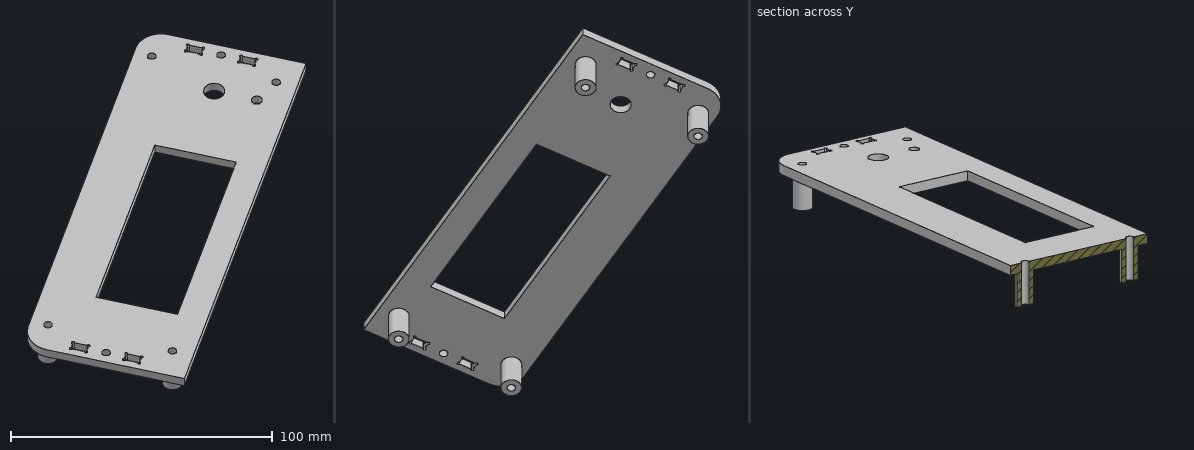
import cadquery as cq

plate_width = 65.0
plate_length = 170.0
plate_thickness = 4.0
corner_radius = 10.2

total_height = 17.7
standoff_height = total_height - plate_thickness
standoff_diameter = 8.0
standoff_bore = 3.2
standoff_left_inset = 7.1
standoff_right_inset = 8.3
standoff_end_inset = 12.5

window_width = 32.3
window_length = 82.0
window_x = 4.6
window_y = -12.5

control_hole_y = 61.5
large_hole_x = 2.5
large_hole_diameter = 8.0
small_hole_x = 19.5
small_hole_diameter = 4.0

row_end_inset = 4.8
row_hole_diameter = 3.2
slot_offset = 10.5
slot_width = 6.1
slot_height = 3.2
slot_relief_diameter = 1.0


def cutter(profile):
    """Extrude a closed profile through the full plate thickness."""
    return profile.extrude(plate_thickness)


def make_plate():
    plate = cq.Workplane("XY").box(
        plate_width, plate_length, plate_thickness, centered=(True, True, False)
    )
    return plate.edges("|Z and <X").fillet(corner_radius)


def standoff_points():
    left_x = -plate_width / 2 + standoff_left_inset
    right_x = plate_width / 2 - standoff_right_inset
    end_y = plate_length / 2 - standoff_end_inset
    return [(x, y) for x in (left_x, right_x) for y in (-end_y, end_y)]


def add_standoffs(body):
    posts = (
        cq.Workplane("XY")
        .pushPoints(standoff_points())
        .circle(standoff_diameter / 2)
        .extrude(-standoff_height)
    )
    bores = (
        cq.Workplane("XY", origin=(0, 0, -standoff_height))
        .pushPoints(standoff_points())
        .circle(standoff_bore / 2)
        .extrude(total_height)
    )
    return body.union(posts).cut(bores)


def cut_window(body):
    profile = cq.Workplane("XY").center(window_x, window_y).rect(window_width, window_length)
    return body.cut(cutter(profile))


def cut_round_hole(body, x, y, diameter):
    return body.cut(cutter(cq.Workplane("XY").center(x, y).circle(diameter / 2)))


def cut_relieved_slot(body, x, y):
    """Cut a rectangular slot with a round relief centred on each corner."""
    slot = cq.Workplane("XY").center(x, y).rect(slot_width, slot_height)
    reliefs = (
        cq.Workplane("XY")
        .center(x, y)
        .rect(slot_width, slot_height, forConstruction=True)
        .vertices()
        .circle(slot_relief_diameter / 2)
    )
    return body.cut(cutter(slot)).cut(cutter(reliefs))


result = add_standoffs(make_plate())
result = cut_window(result)
result = cut_round_hole(result, large_hole_x, control_hole_y, large_hole_diameter)
result = cut_round_hole(result, small_hole_x, control_hole_y, small_hole_diameter)

row_distance = plate_length / 2 - row_end_inset
for row_y in (-row_distance, row_distance):
    result = cut_round_hole(result, 0, row_y, row_hole_diameter)
    for slot_x in (-slot_offset, slot_offset):
        result = cut_relieved_slot(result, slot_x, row_y)